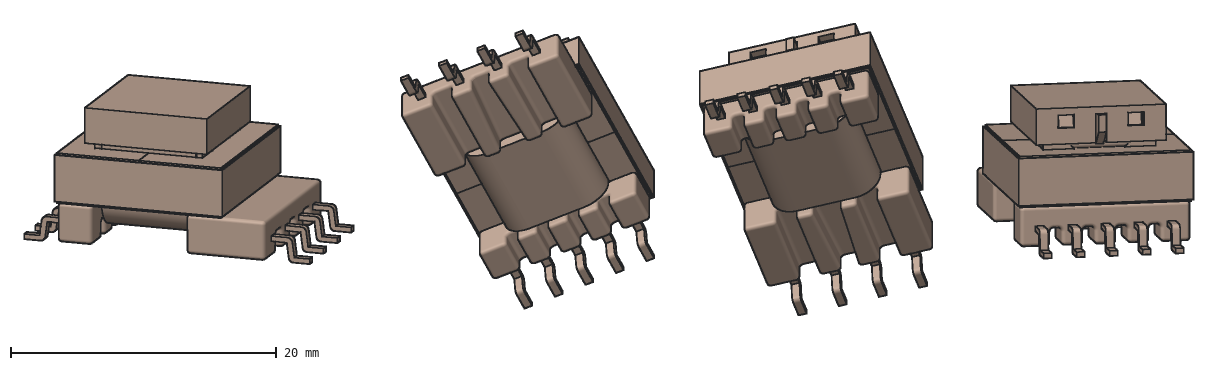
import cadquery as cq


base_bottom = 0.35
core_bottom = 3.4
core_height = 3.91
core_mid = core_bottom + core_height / 2
core_top = core_bottom + core_height
core_length = 13.07
core_width = 13.15

tape_thickness = 0.14
tape_inset = 0.14

flange_outer = 4.27
flange_inner = 3.75
flange_half_width = 4.32
flange_top = 10.02
leg_half_width = 1.95
tube_wall = 0.32
winding_thickness = 2.03
edge_radius = 0.3
mouth_radius = 0.27

left_block_face = -6.5
right_block_face = 10.02
block_width = 13.02

left_slot_half_width = 0.45
left_slot_top = 1.7
right_slot_half_width = 0.8
right_slot_top = 1.92
middle_slot_inner_half = 1.09
middle_slot_outer_half = 0.68

pin_width = 0.63
pin_thickness = 0.4
pin_reach = 3.05
pin_top = 1.92
pin_knee = 1.63
pin_lean = 0.2
pin_bend_radius = 0.38
left_pin_count = 5
left_pin_pitch = 2.53
right_pin_count = 4
right_pin_pitch = 3.17

cap_length = 9.72
cap_width = 9.95
cap_bottom = 7.8
cap_top = 10.55
window_inner = 2.05
window_outer = 3.3
window_bottom = 9.02
clearance = 0.11
catch_depth = 0.32
key_half_width = 0.3
key_tip = -5.38
key_chamfer_start = 8.7
catch_width = window_outer - window_inner - clearance


def block(x0, x1, y0, y1, z0, z1):
    """Axis-aligned box between two opposite corners."""
    return cq.Workplane("XY").box(x1 - x0, y1 - y0, z1 - z0, centered=False).translate((x0, y0, z0))


def row(count, pitch):
    """Y positions of a row centred on Y = 0."""
    return [(i - (count - 1) / 2) * pitch for i in range(count)]


def wire_slot(x0, x1, y, half_width_0, half_width_1, top):
    """Tool for a slot along X, open at the bottom, with rounded upper corners."""
    plan = [
        (x0, y - half_width_0),
        (x1, y - half_width_1),
        (x1, y + half_width_1),
        (x0, y + half_width_0),
    ]
    slot = cq.Workplane("XY").polyline(plan).close().extrude(top)
    return slot.faces(">Z").edges("not |Y").fillet(edge_radius)


def base_block(x0, x1, slots):
    """Base block between x0 and x1 with its wire slots, every outer edge rounded."""
    base = block(x0, x1, -block_width / 2, block_width / 2, base_bottom, core_bottom)
    for slot in slots:
        base = base.cut(slot)
    return base.faces("<X or >X or <Z or >Z").edges().fillet(edge_radius)


def left_base():
    """Base block under the left flange, with a straight slot between neighbouring pins."""
    span = (left_block_face, -flange_inner)
    half_width = left_slot_half_width
    slots = [
        wire_slot(*span, y, half_width, half_width, left_slot_top)
        for y in row(left_pin_count - 1, left_pin_pitch)
    ]
    return base_block(*span, slots)


def right_base():
    """Base block under the right flange: straight outer slots and a tapered middle one."""
    span = (flange_inner, right_block_face)
    half_width = right_slot_half_width
    slots = [
        wire_slot(*span, y, half_width, half_width, right_slot_top)
        for y in (-right_pin_pitch, right_pin_pitch)
    ]
    slots.append(wire_slot(*span, 0, middle_slot_inner_half, middle_slot_outer_half, right_slot_top))
    return base_block(*span, slots)


def flange(side):
    """Upright plate through the core window with a flared opening; side is -1 or +1 along X."""
    x0, x1 = sorted((side * flange_inner, side * flange_outer))
    plate_bottom = core_bottom - edge_radius
    inner_edges, outer_face = ("|Z and >X", "<X") if side < 0 else ("|Z and <X", ">X")
    plate = block(x0, x1, -flange_half_width, flange_half_width, plate_bottom, flange_top)
    plate = plate.edges(inner_edges).fillet(edge_radius)
    opening = block(x0, x1, -leg_half_width, leg_half_width, plate_bottom, core_top)
    mouth_zone = cq.selectors.BoxSelector(
        (-flange_outer - mouth_radius, -leg_half_width - mouth_radius, plate_bottom),
        (flange_outer + mouth_radius, leg_half_width + mouth_radius, core_top + mouth_radius),
    )
    mouth_edges = plate.cut(opening).faces(outer_face).edges(mouth_zone)
    return mouth_edges.fillet(mouth_radius)


def tube():
    """Rectangular tube around the core's centre leg, let into both flanges."""
    half_length = flange_outer - mouth_radius
    return (
        cq.Workplane("YZ", origin=(-half_length, 0, core_mid))
        .rect(2 * (leg_half_width + tube_wall), core_height + 2 * tube_wall)
        .rect(2 * leg_half_width, core_height)
        .extrude(2 * half_length)
    )


def key():
    """Orientation key on the left flange, undercut at 45 degrees."""
    undercut = -flange_outer - key_tip
    return (
        cq.Workplane("XZ", origin=(0, key_half_width, 0))
        .moveTo(key_tip, flange_top)
        .lineTo(key_tip, key_chamfer_start)
        .lineTo(-flange_outer, key_chamfer_start - undercut)
        .lineTo(-flange_outer, flange_top)
        .close()
        .extrude(2 * key_half_width)
    )


def catch(y0):
    """Ramped catch on the left flange that reaches into a cap window, starting at Y = y0."""
    return (
        cq.Workplane("XZ", origin=(0, y0 + catch_width, 0))
        .moveTo(-flange_outer, window_bottom)
        .lineTo(-flange_outer - catch_depth, window_bottom)
        .lineTo(-flange_outer, flange_top)
        .close()
        .extrude(catch_width)
    )


def pin(y, side):
    """Gull-wing pin leaving a base block along X; side is -1 or +1."""
    foot_knee = pin_knee + pin_lean
    profile = [
        (0, pin_top),
        (pin_knee, pin_top),
        (foot_knee, pin_thickness),
        (pin_reach, pin_thickness),
        (pin_reach, 0),
        (foot_knee - pin_thickness, 0),
        (pin_knee - pin_thickness, pin_top - pin_thickness),
        (0, pin_top - pin_thickness),
    ]
    upper_bend = cq.selectors.NearestToPointSelector((pin_knee, 0, pin_top))
    lower_bend = cq.selectors.NearestToPointSelector((foot_knee - pin_thickness, 0, 0))
    shape = cq.Workplane("XZ", origin=(0, pin_width / 2, 0)).polyline(profile).close().extrude(pin_width)
    shape = shape.edges("|Y").edges(upper_bend).fillet(pin_bend_radius)
    shape = shape.edges("|Y").edges(lower_bend).fillet(pin_bend_radius)
    if side < 0:
        return shape.mirror("YZ").translate((left_block_face, y, 0))
    return shape.translate((right_block_face, y, 0))


def make_bobbin():
    body = left_base().union(right_base())
    body = body.union(flange(-1)).union(flange(1)).union(tube())
    body = body.union(key()).union(catch(window_inner)).union(catch(-window_inner - catch_width))
    for y in row(left_pin_count, left_pin_pitch):
        body = body.union(pin(y, -1))
    for y in row(right_pin_count, right_pin_pitch):
        body = body.union(pin(y, 1))
    return body


def make_winding():
    tube_half_width = leg_half_width + tube_wall
    tube_height = core_height + 2 * tube_wall
    section = cq.Workplane("YZ", origin=(-flange_inner, 0, core_mid))
    outside = (
        section.rect(2 * (tube_half_width + winding_thickness), tube_height + 2 * winding_thickness)
        .extrude(2 * flange_inner)
        .edges("|X")
        .fillet(winding_thickness)
    )
    inside = section.rect(2 * tube_half_width, tube_height).extrude(2 * flange_inner)
    return outside.cut(inside)


def make_core_half(side):
    x_back = side * core_length / 2
    x_window = side * flange_outer
    half = block(*sorted((0, x_back)), -core_width / 2, core_width / 2, core_bottom, core_top)
    for y0, y1 in ((leg_half_width, flange_half_width), (-flange_half_width, -leg_half_width)):
        half = half.cut(block(*sorted((0, x_window)), y0, y1, core_bottom, core_top))
    return half


def make_tape():
    return (
        cq.Workplane("XY", origin=(0, 0, core_bottom + tape_inset))
        .rect(core_length + 2 * tape_thickness, core_width + 2 * tape_thickness)
        .rect(core_length, core_width)
        .extrude(core_height - 2 * tape_inset)
    )


def make_cap():
    cap = block(-cap_length / 2, cap_length / 2, -cap_width / 2, cap_width / 2, cap_bottom, cap_top)
    cavity = block(-flange_outer, flange_outer, -flange_half_width, flange_half_width, cap_bottom, flange_top)
    slot_half_width = key_half_width + clearance
    wall = (-cap_length / 2, -flange_outer)
    key_slot = block(*wall, -slot_half_width, slot_half_width, cap_bottom, flange_top)
    cap = cap.cut(cavity).cut(key_slot)
    for y0, y1 in ((window_inner, window_outer), (-window_outer, -window_inner)):
        cap = cap.cut(block(*wall, y0, y1, window_bottom, flange_top))
    return cap


bobbin = make_bobbin()
winding = make_winding()
left_core = make_core_half(-1)
right_core = make_core_half(1)
tape = make_tape()
cap = make_cap()

result = cq.Compound.makeCompound([
    bobbin.val(),
    winding.val(),
    left_core.val(),
    right_core.val(),
    tape.val(),
    cap.val(),
])